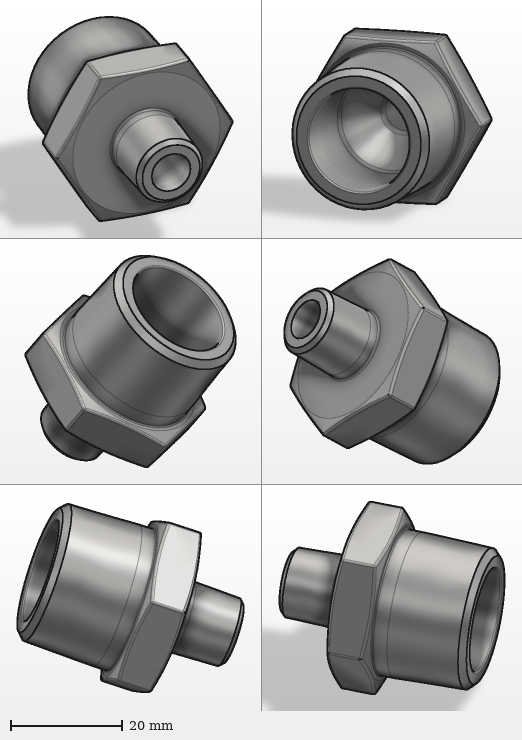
import cadquery as cq
import math

length = 37.0

taper_per_length = 1 / 16 / 2

large_diameter = 26.75
large_taper_end = 14.45
large_chamfer = 1.22
large_root_fillet = 0.25

hex_start = 17.28
hex_end = 25.27
hex_across_flats = 30.0
hex_face_diameter = 28.6
hex_bevel_angle = 15.0
hex_edge_fillet = 0.5
bevel_clearance = 0.37

small_diameter = 13.4
small_taper_start = 27.35
small_chamfer = 0.85
small_root_fillet = 0.37

large_bore_diameter = 19.0
small_bore_diameter = 7.5
cone_start = hex_start
cone_half_angle = 33.0
bore_rim_fillet = 0.3
cone_outer_fillet = 2.22
cone_throat_fillet = 2.9


def revolve_about_x(points):
    """Solid of revolution about X from a closed (x, radius) outline."""
    return cq.Workplane("XY").polyline(points).close().revolve(360, (0, 0, 0), (1, 0, 0))


def make_hexagon():
    """Hexagon with bevelled faces, flats facing +Z and -Z, and all its outer edges rounded."""
    corner_diameter = hex_across_flats / math.cos(math.pi / 6)
    prism = (
        cq.Workplane("YZ", origin=(hex_start, 0, 0))
        .polygon(6, corner_diameter)
        .extrude(hex_end - hex_start)
        .edges("|X")
        .fillet(hex_edge_fillet)
    )

    face_radius = hex_face_diameter / 2
    envelope_radius = corner_diameter / 2 + bevel_clearance
    bevel_depth = (envelope_radius - face_radius) * math.tan(math.radians(hex_bevel_angle))
    envelope = revolve_about_x([
        (hex_start, 0),
        (hex_start, face_radius),
        (hex_start + bevel_depth, envelope_radius),
        (hex_end - bevel_depth, envelope_radius),
        (hex_end, face_radius),
        (hex_end, 0),
    ])
    bevelled = prism.intersect(envelope)
    bevel_edges = bevelled.edges("not(<X or >X or |X)")
    return bevel_edges.fillet(hex_edge_fillet)


def make_spigot(tip_x, taper_x, root_x, diameter, chamfer, root_fillet):
    """Tapered spigot from its chamfered tip to the fillet where it meets the hexagon."""
    toward_root = math.copysign(1, root_x - tip_x)
    root_radius = diameter / 2
    chamfer_x = tip_x + toward_root * chamfer
    tip_radius = root_radius - abs(taper_x - chamfer_x) * taper_per_length
    arc_inset = root_fillet * (1 - math.sqrt(0.5))
    return (
        cq.Workplane("XY")
        .moveTo(tip_x, 0)
        .lineTo(tip_x, tip_radius - chamfer)
        .lineTo(chamfer_x, tip_radius)
        .lineTo(taper_x, root_radius)
        .lineTo(root_x - toward_root * root_fillet, root_radius)
        .threePointArc(
            (root_x - toward_root * arc_inset, root_radius + arc_inset),
            (root_x, root_radius + root_fillet),
        )
        .lineTo(root_x, 0)
        .close()
        .revolve(360, (0, 0, 0), (1, 0, 0))
    )


def make_passage():
    """Wide bore from x = 0, narrowing through a rounded cone to the small through bore."""
    large_radius = large_bore_diameter / 2
    small_radius = small_bore_diameter / 2
    cone_length = (large_radius - small_radius) / math.tan(math.radians(cone_half_angle))
    cone_end = cone_start + cone_length
    passage = revolve_about_x([
        (0, 0),
        (0, large_radius),
        (cone_start, large_radius),
        (cone_end, small_radius),
        (length, small_radius),
        (length, 0),
    ])

    def edge_nearest(x):
        return cq.selectors.NearestToPointSelector((x, 0, 0))

    passage = passage.edges("%CIRCLE").edges(edge_nearest(cone_start)).fillet(cone_outer_fillet)
    return passage.edges("%CIRCLE").edges(edge_nearest(cone_end)).fillet(cone_throat_fillet)


large_spigot = make_spigot(
    0, large_taper_end, hex_start, large_diameter, large_chamfer, large_root_fillet
)
small_spigot = make_spigot(
    length, small_taper_start, hex_end, small_diameter, small_chamfer, small_root_fillet
)
body = make_hexagon().union(large_spigot).union(small_spigot).cut(make_passage())

bore_mouth = body.faces("<X").edges(cq.selectors.RadiusNthSelector(0))
result = bore_mouth.fillet(bore_rim_fillet)